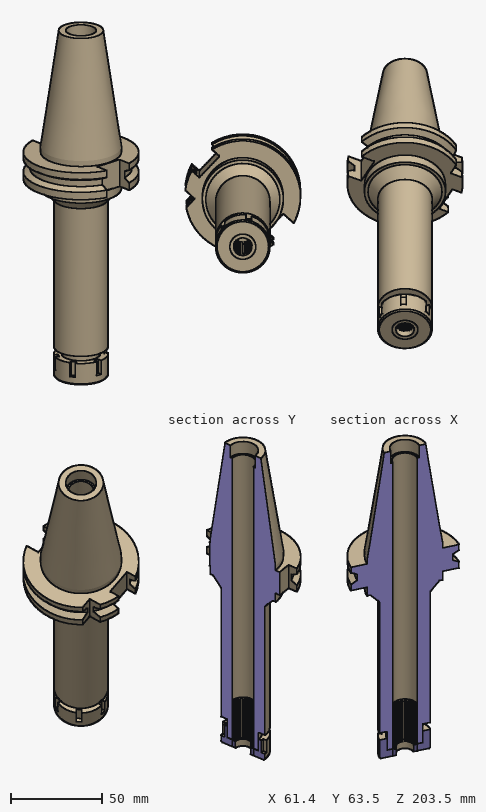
import cadquery as cq


TOTAL_LENGTH = 203.5
TAPER_LENGTH = 68.3
FLANGE_TOP_DEPTH = 71.5
FLANGE_BOTTOM_DEPTH = 87.5
COLLAR_BOTTOM_DEPTH = 93.2
SHANK_TOP_DEPTH = 99.3
SHANK_BOTTOM_DEPTH = 186.3

TAPER_RATIO = 7 / 24
COLLAR_DIAMETER = 44.5
FLANGE_DIAMETER = 63.5
CONE_TOP_DIAMETER = 40.7
SHANK_DIAMETER = 30.0
NECK_DIAMETER = 21.4
TAPER_TOP_DIAMETER = COLLAR_DIAMETER - TAPER_LENGTH * TAPER_RATIO

GROOVE_DEPTH_FROM_TOP = 79.3
GROOVE_DIAMETER = 56.1
GROOVE_FLOOR_WIDTH = 3.7
GROOVE_MOUTH_WIDTH = 7.5
DRIVE_SLOT_WIDTH = 16.3
NEAR_SLOT_OFFSET = 22.8
FAR_SLOT_OFFSET = 25.0
NOTCH_OFFSET = 18.7

COUNTERBORE_DIAMETER = 16.7
COUNTERBORE_DEPTH = 8.1
BORE_DIAMETER = 14.2

NUT_LENGTH = 12.8
NUT_DIAMETER = SHANK_DIAMETER
NUT_CHAMFER = 0.8
WRENCH_SLOT_COUNT = 6
WRENCH_SLOT_WIDTH = 3.0
WRENCH_SLOT_LENGTH = 8.1
WRENCH_SLOT_FLOOR_RADIUS = 12.6
NUT_LIP_THICKNESS = NUT_LENGTH - WRENCH_SLOT_LENGTH

COLLET_LENGTH = 31.5
COLLET_DIAMETER = BORE_DIAMETER
COLLET_HOLE_DIAMETER = 10.0
SLIT_COUNT = 8
SLIT_WIDTH = 0.8
BORE_GROOVE_DIAMETER = 12.2
BORE_GROOVE_WIDTH = 1.2
COLLET_SOLID_FRONT = NUT_LIP_THICKNESS


def height(depth):
    """Z of a point at the given depth below the small end of the taper."""
    return TOTAL_LENGTH - depth


def cylinder(diameter, bottom, top):
    return cq.Workplane("XY").workplane(offset=bottom).circle(diameter / 2).extrude(top - bottom)


def block(x_range, y_range, z_range):
    """Axis-aligned box between the given limits."""
    spans = [high - low for low, high in (x_range, y_range, z_range)]
    corner = (x_range[0], y_range[0], z_range[0])
    return cq.Workplane("XY").box(*spans, centered=False).translate(corner)


def polar_copies(shape, count, start_angle=0.0):
    """Copies of a shape turned evenly about the Z axis."""
    return [
        shape.rotate((0, 0, 0), (0, 0, 1), start_angle + 360 / count * index)
        for index in range(count)
    ]


def holder_blank():
    """Taper, collar, cone, shank and neck as one turned solid."""
    collar = COLLAR_DIAMETER / 2
    shank = SHANK_DIAMETER / 2
    neck = NECK_DIAMETER / 2
    profile = [
        (0, height(0)),
        (TAPER_TOP_DIAMETER / 2, height(0)),
        (collar, height(TAPER_LENGTH)),
        (collar, height(COLLAR_BOTTOM_DEPTH)),
        (CONE_TOP_DIAMETER / 2, height(COLLAR_BOTTOM_DEPTH)),
        (shank, height(SHANK_TOP_DEPTH)),
        (shank, height(SHANK_BOTTOM_DEPTH)),
        (neck, height(SHANK_BOTTOM_DEPTH)),
        (neck, NUT_LIP_THICKNESS),
        (0, NUT_LIP_THICKNESS),
    ]
    return cq.Workplane("XZ").polyline(profile).close().revolve(360, (0, 0, 0), (0, 1, 0))


def flange():
    """Disc with a V groove round its rim, cut by the drive slots and the corner notch."""
    rim = FLANGE_DIAMETER / 2
    floor = GROOVE_DIAMETER / 2
    middle = height(GROOVE_DEPTH_FROM_TOP)
    z_range = (height(FLANGE_BOTTOM_DEPTH), height(FLANGE_TOP_DEPTH))
    profile = [
        (0, z_range[1]),
        (rim, z_range[1]),
        (rim, middle + GROOVE_MOUTH_WIDTH / 2),
        (floor, middle + GROOVE_FLOOR_WIDTH / 2),
        (floor, middle - GROOVE_FLOOR_WIDTH / 2),
        (rim, middle - GROOVE_MOUTH_WIDTH / 2),
        (rim, z_range[0]),
        (0, z_range[0]),
    ]
    disc = cq.Workplane("XZ").polyline(profile).close().revolve(360, (0, 0, 0), (0, 1, 0))

    slot_sides = (-DRIVE_SLOT_WIDTH / 2, DRIVE_SLOT_WIDTH / 2)
    near_slot = block((NEAR_SLOT_OFFSET, FLANGE_DIAMETER), slot_sides, z_range)
    far_slot = block((-FLANGE_DIAMETER, -FAR_SLOT_OFFSET), slot_sides, z_range)
    notch = block((-FLANGE_DIAMETER, -NOTCH_OFFSET), (NOTCH_OFFSET, FLANGE_DIAMETER), z_range)
    return disc.cut(near_slot).cut(far_slot).cut(notch)


def make_holder():
    bore = cylinder(BORE_DIAMETER, 0, TOTAL_LENGTH)
    counterbore = cylinder(COUNTERBORE_DIAMETER, height(COUNTERBORE_DEPTH), TOTAL_LENGTH)
    return holder_blank().union(flange()).cut(bore).cut(counterbore)


def make_nut():
    """Cap that takes the neck from above, with wrench slots open to its upper face."""
    nut = cylinder(NUT_DIAMETER, 0, NUT_LENGTH).faces("<Z").chamfer(NUT_CHAMFER)
    nut = nut.cut(cylinder(NECK_DIAMETER, NUT_LIP_THICKNESS, NUT_LENGTH))
    nut = nut.cut(cylinder(COLLET_DIAMETER, 0, NUT_LIP_THICKNESS))
    slot = block(
        (WRENCH_SLOT_FLOOR_RADIUS, NUT_DIAMETER),
        (-WRENCH_SLOT_WIDTH / 2, WRENCH_SLOT_WIDTH / 2),
        (NUT_LENGTH - WRENCH_SLOT_LENGTH, NUT_LENGTH),
    )
    for cutter in polar_copies(slot, WRENCH_SLOT_COUNT):
        nut = nut.cut(cutter)
    return nut


def make_collet():
    """Sleeve cut from its inner end by through slits, with bore grooves midway between them."""
    cut_range = (COLLET_SOLID_FRONT, COLLET_LENGTH)
    slit = block((0, COLLET_DIAMETER), (-SLIT_WIDTH / 2, SLIT_WIDTH / 2), cut_range)
    groove = block(
        (0, COLLET_DIAMETER),
        (-BORE_GROOVE_WIDTH / 2, BORE_GROOVE_WIDTH / 2),
        cut_range,
    ).intersect(cylinder(BORE_GROOVE_DIAMETER, *cut_range))

    half_pitch = 360 / SLIT_COUNT / 2
    cutters = polar_copies(slit, SLIT_COUNT, half_pitch) + polar_copies(groove, SLIT_COUNT)
    collet = cylinder(COLLET_DIAMETER, 0, COLLET_LENGTH)
    collet = collet.cut(cylinder(COLLET_HOLE_DIAMETER, 0, COLLET_LENGTH))
    for cutter in cutters:
        collet = collet.cut(cutter)
    return collet


holder = make_holder().solids()
nut = make_nut().solids()
collet = make_collet().solids()

result = cq.Compound.makeCompound([holder.val(), nut.val(), collet.val()])